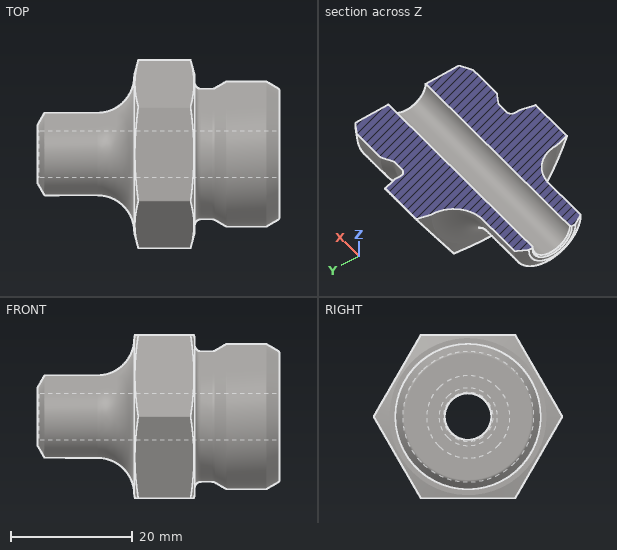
import cadquery as cq
import math

length = 40.0

stub_radius = 13.7 / 2
stub_rim_radius = 4.8
stub_chamfer_length = (stub_radius - stub_rim_radius) * math.tan(math.radians(30))
flare_radius = 6.0

across_flats = 27.0
across_corners = across_flats / math.cos(math.radians(30))
hex_start = 15.95
hex_end = 26.0
hex_face_radius = 12.95
hex_chamfer_slope = math.tan(math.radians(15))
hex_chamfer_length = (across_corners / 2 - hex_face_radius) * hex_chamfer_slope

thread_radius = 24.0 / 2
undercut_radius = 21.6 / 2
undercut_fillet = 1.0
thread_start = 31.2
thread_cone_angle = math.radians(30)
undercut_cone_length = (thread_radius - undercut_radius) / math.tan(thread_cone_angle)
end_chamfer_length = 2.2
end_radius = thread_radius - end_chamfer_length * math.tan(thread_cone_angle)
end_round = 0.5

edge_round = 0.2

bore_radius = 7.65 / 2
mouth_radius = 4.1
mouth_depth = mouth_radius - bore_radius


def round_rim(body, x, radius, size):
    """Round the circular edge of the given radius that lies at x."""
    tolerance = 0.02
    rims = [
        edge
        for edge in body.edges("%CIRCLE").vals()
        if abs(edge.Center().x - x) < tolerance and abs(edge.radius() - radius) < tolerance
    ]
    return body.newObject(rims).fillet(size)


def turned_body():
    """Revolved outer shape, with the hexagon as a double-chamfered disc."""
    corner_radius = across_corners / 2
    flare_start = hex_start - flare_radius
    flare_end_radius = stub_radius + flare_radius
    arc_45 = flare_radius * math.sin(math.radians(45))
    undercut_corner = thread_start - undercut_cone_length
    blend_tangent = undercut_fillet * math.tan(thread_cone_angle / 2)
    blend_start = undercut_corner - blend_tangent
    blend_center_radius = undercut_radius + undercut_fillet
    half_angle = thread_cone_angle / 2
    blend_mid = (
        blend_start + undercut_fillet * math.sin(half_angle),
        blend_center_radius - undercut_fillet * math.cos(half_angle),
    )
    blend_end = (
        blend_start + undercut_fillet * math.sin(thread_cone_angle),
        blend_center_radius - undercut_fillet * math.cos(thread_cone_angle),
    )
    root_offset = undercut_fillet * (1 - math.sin(math.radians(45)))

    profile = (
        cq.Workplane("XY")
        .moveTo(0, 0)
        .lineTo(0, stub_rim_radius)
        .lineTo(stub_chamfer_length, stub_radius)
        .lineTo(flare_start, stub_radius)
        .threePointArc(
            (flare_start + arc_45, flare_end_radius - arc_45),
            (hex_start, flare_end_radius),
        )
        .lineTo(hex_start, hex_face_radius)
        .lineTo(hex_start + hex_chamfer_length, corner_radius)
        .lineTo(hex_end - hex_chamfer_length, corner_radius)
        .lineTo(hex_end, hex_face_radius)
        .lineTo(hex_end, undercut_radius + undercut_fillet)
        .threePointArc(
            (hex_end + root_offset, undercut_radius + root_offset),
            (hex_end + undercut_fillet, undercut_radius),
        )
        .lineTo(blend_start, undercut_radius)
        .threePointArc(blend_mid, blend_end)
        .lineTo(thread_start, thread_radius)
        .lineTo(length - end_chamfer_length, thread_radius)
        .lineTo(length, end_radius)
        .lineTo(length, 0)
        .close()
    )
    body = profile.revolve(360, (0, 0, 0), (1, 0, 0))
    thread_end = length - end_chamfer_length
    body = round_rim(body, stub_chamfer_length, stub_radius, edge_round)
    body = round_rim(body, thread_start, thread_radius, edge_round)
    body = round_rim(body, thread_end, thread_radius, edge_round)
    return round_rim(body, length, end_radius, end_round)


def hexagon_prism():
    """Full-length hexagonal bar with rounded corners on the Y axis."""
    bar = cq.Workplane("YZ").polygon(6, across_corners).extrude(length)
    return bar.edges("|X").fillet(edge_round)


def bore():
    """Through bore with a small chamfer at the stub mouth."""
    profile = (
        cq.Workplane("XY")
        .moveTo(0, 0)
        .lineTo(0, mouth_radius)
        .lineTo(mouth_depth, bore_radius)
        .lineTo(length, bore_radius)
        .lineTo(length, 0)
        .close()
    )
    return profile.revolve(360, (0, 0, 0), (1, 0, 0))


result = turned_body().intersect(hexagon_prism()).cut(bore())